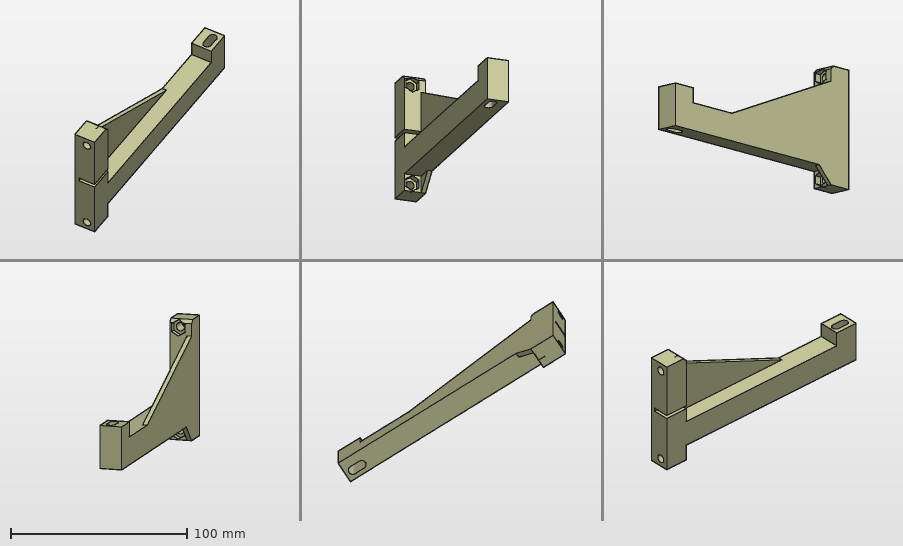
import cadquery as cq

width = 13.0
length = 145.0
height = 70.0

plate_thickness = 15.0
plate_chamfer = 2.0

arm_bottom = 10.0
arm_top = 26.2
tip_top = height / 2
tip_length = 15.0

web_thickness = 2.8
web_upper_end_y = 97.5
web_upper_plate_z = 60.8
web_lower_end_y = 25.0

hole_x = 8.0
hole_diameter = 5.0
hole_edge_distance = 5.1
nut_across_corners = 9.3
nut_seat_y = 10.9
tip_slot_length = 11.0
tip_slot_y = 137.2
plate_slot_bottom = tip_top
plate_slot_height = 2.0


def box(x_range, y_range, z_range):
    """Axis-aligned block given by its start and end along each axis."""
    (x0, x1), (y0, y1), (z0, z1) = x_range, y_range, z_range
    return cq.Workplane("XY").box(x1 - x0, y1 - y0, z1 - z0, centered=False).translate((x0, y0, z0))


def mounting_plate():
    """Upright plate with a chamfer along its upper rear edge."""
    plate = box((0, width), (0, plate_thickness), (0, height))
    return plate.edges(">Y and >Z").chamfer(plate_chamfer)


def arm():
    """Full-width bar that ends in a raised tip."""
    bar = box((0, width), (0, length), (arm_bottom, arm_top))
    tip = box((0, width), (length - tip_length, length), (arm_bottom, tip_top))
    return bar.union(tip)


def web():
    """Thin brace that tapers from the plate to the arm on both sides."""
    outline = [
        (plate_thickness, 0),
        (web_lower_end_y, arm_bottom),
        (web_upper_end_y, arm_top),
        (plate_thickness, web_upper_plate_z),
    ]
    return cq.Workplane("YZ").polyline(outline).close().extrude(web_thickness)


def bolt_cutter(z):
    """Through hole in the plate with a hexagonal nut trap, corner up, open to the rear."""
    centre = cq.Vector(hole_x, 0, z)
    hole = cq.Workplane(cq.Plane(centre, xDir=(0, 0, 1), normal=(0, 1, 0)))
    hole = hole.circle(hole_diameter / 2).extrude(plate_thickness)
    seat = cq.Vector(hole_x, nut_seat_y, z)
    trap = cq.Workplane(cq.Plane(seat, xDir=(0, 0, 1), normal=(0, 1, 0)))
    trap = trap.polygon(6, nut_across_corners).extrude(plate_thickness - nut_seat_y)
    return hole.union(trap)


def tip_slot_cutter():
    """Vertical rounded slot through the tip, elongated along Y."""
    slot = cq.Workplane("XY").center(hole_x, tip_slot_y)
    return slot.slot2D(tip_slot_length, hole_diameter, 90).extrude(height)


def plate_slot_cutter():
    """Horizontal slot through the plate that stops at the web."""
    z_range = (plate_slot_bottom, plate_slot_bottom + plate_slot_height)
    return box((web_thickness, width), (0, plate_thickness), z_range)


result = mounting_plate().union(arm()).union(web())
for bolt_z in (hole_edge_distance, height - hole_edge_distance):
    result = result.cut(bolt_cutter(bolt_z))
result = result.cut(tip_slot_cutter()).cut(plate_slot_cutter())